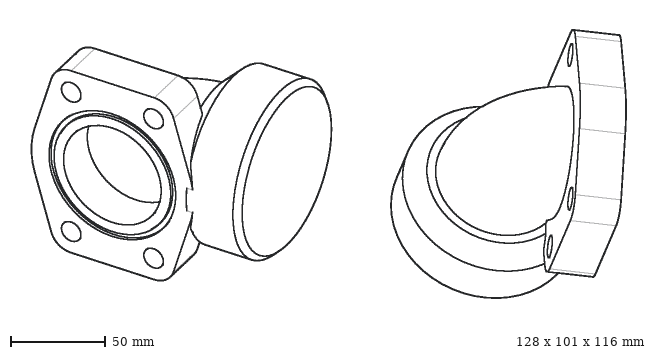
import cadquery as cq
import math

flange_thickness = 25.0
flange_half_height = 58.0
flange_side_radius = 49.9
hole_x = 25.3
hole_z = 44.4
hole_diameter = 12.0
corner_radius = 12.5
corner_center_x = 25.6
corner_center_z = flange_half_height - corner_radius

bore_diameter = 60.2
bore_depth = flange_thickness
groove_inner_diameter = 72.0
groove_outer_diameter = 78.1
groove_depth = 2.0

pipe_radius = 35.0
bend_radius = pipe_radius
collar_axis_y = 50.0
bend_start_y = collar_axis_y - bend_radius

collar_radius = 50.5
collar_back_x = bend_radius
collar_back_radius = 39.7
collar_cone_length = 10.9
collar_end_x = 78.1
collar_chamfer = 3.6


def face_plane(y=0):
    """XZ workplane at the given Y; its normal is -Y, so negative extrusion goes into the part."""
    return cq.Workplane("XZ", origin=(0, y, 0))


def on_circle(center_x, center_z, radius, angle):
    return (center_x + radius * math.cos(angle), center_z + radius * math.sin(angle))


def make_flange():
    center_distance = math.hypot(corner_center_x, corner_center_z)
    edge_angle = math.atan2(corner_center_z, corner_center_x) - math.acos(
        (flange_side_radius - corner_radius) / center_distance
    )
    side_x, side_z = on_circle(0, 0, flange_side_radius, edge_angle)
    corner_x, corner_z = on_circle(corner_center_x, corner_center_z, corner_radius, edge_angle)
    middle_angle = (edge_angle + math.pi / 2) / 2
    middle_x, middle_z = on_circle(corner_center_x, corner_center_z, corner_radius, middle_angle)
    return (
        face_plane()
        .moveTo(side_x, -side_z)
        .threePointArc((flange_side_radius, 0), (side_x, side_z))
        .lineTo(corner_x, corner_z)
        .threePointArc((middle_x, middle_z), (corner_center_x, flange_half_height))
        .lineTo(-corner_center_x, flange_half_height)
        .threePointArc((-middle_x, middle_z), (-corner_x, corner_z))
        .lineTo(-side_x, side_z)
        .threePointArc((-flange_side_radius, 0), (-side_x, -side_z))
        .lineTo(-corner_x, -corner_z)
        .threePointArc((-middle_x, -middle_z), (-corner_center_x, -flange_half_height))
        .lineTo(corner_center_x, -flange_half_height)
        .threePointArc((middle_x, -middle_z), (corner_x, -corner_z))
        .close()
        .extrude(-flange_thickness)
    )


def make_elbow():
    return (
        face_plane(bend_start_y)
        .circle(pipe_radius)
        .revolve(90, (bend_radius, 1.3, 0), (bend_radius, 0, 0))
    )


def make_collar():
    cone_end_x = collar_back_x + collar_cone_length
    profile = [
        (collar_back_x, 0),
        (collar_back_x, collar_back_radius),
        (cone_end_x, collar_radius),
        (collar_end_x - collar_chamfer, collar_radius),
        (collar_end_x, collar_radius - collar_chamfer),
        (collar_end_x, 0),
    ]
    return (
        cq.Workplane("XY", origin=(0, collar_axis_y, 0))
        .polyline(profile)
        .close()
        .revolve(360, (0, 0, 0), (1, 0, 0))
    )


def make_bolt_holes():
    return (
        face_plane()
        .rect(2 * hole_x, 2 * hole_z, forConstruction=True)
        .vertices()
        .circle(hole_diameter / 2)
        .extrude(-flange_thickness)
    )


def make_bore():
    return face_plane().circle(bore_diameter / 2).extrude(-bore_depth)


def make_seal_groove():
    return (
        face_plane()
        .circle(groove_outer_diameter / 2)
        .circle(groove_inner_diameter / 2)
        .extrude(-groove_depth)
    )


body = make_flange().union(make_elbow()).union(make_collar())
result = body.cut(make_bolt_holes()).cut(make_bore()).cut(make_seal_groove())